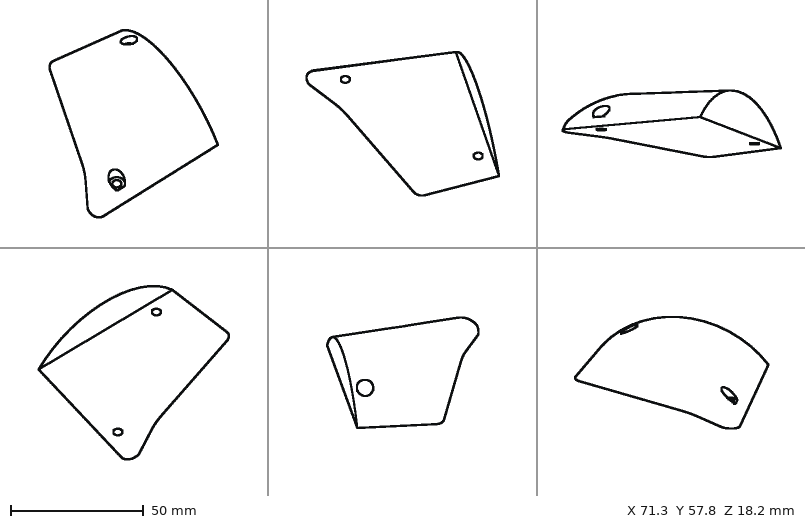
import cadquery as cq

BACK_LEFT_X = -33.3
BACK_RIGHT_X = 31.5
BACK_HEIGHT = 15.5
LEFT_FLARE = 0.079
RIGHT_FLARE = 0.076
HEIGHT_RISE = 0.067
BODY_LENGTH = 71.25

BEND_X = 14.5
BEND_Y = -48.8
LEFT_WALL_SLOPE = -0.33
RIGHT_WALL_SLOPE = -0.58
BEND_RADIUS = 37.8
TIP_Y = -57.8
TIP_RADIUS = 4.3
TRIM_HALF_WIDTH = 49.9
TRIM_HEIGHT = 28.5
FRONT_FILLET = 3.05
BACK_CLEARANCE_Y = -14.25
BASE_CLEARANCE_Z = 0.01

HOLE_CENTRES = [(-21.45, -5.05), (28.5, -43.7)]
HOLE_DIAMETER = 3.4
COUNTERBORE_DIAMETER = 6.2
COUNTERBORE_FLOOR_Z = 4.5


def crowned_wire(distance):
    """Closed arc-and-chord section at a distance in front of the back face."""
    left = BACK_LEFT_X - LEFT_FLARE * distance
    right = BACK_RIGHT_X + RIGHT_FLARE * distance
    height = BACK_HEIGHT + HEIGHT_RISE * distance
    section = (
        cq.Workplane("XZ", origin=(0, -distance, 0))
        .moveTo(left, 0)
        .threePointArc(((left + right) / 2, height), (right, 0))
        .close()
    )
    return section.val()


def front_trim():
    """Block of everything kept behind the slanted front wall."""
    left_y = BEND_Y + LEFT_WALL_SLOPE * (-TRIM_HALF_WIDTH - BEND_X)
    tip_x = BEND_X + (TIP_Y - BEND_Y) / RIGHT_WALL_SLOPE
    block = (
        cq.Workplane("XY")
        .moveTo(-TRIM_HALF_WIDTH, 0)
        .lineTo(-TRIM_HALF_WIDTH, left_y)
        .lineTo(BEND_X, BEND_Y)
        .lineTo(tip_x, TIP_Y)
        .lineTo(TRIM_HALF_WIDTH, TIP_Y)
        .lineTo(TRIM_HALF_WIDTH, 0)
        .close()
        .extrude(TRIM_HEIGHT)
    )
    bend_edge = cq.selectors.NearestToPointSelector((BEND_X, BEND_Y, TRIM_HEIGHT / 2))
    tip_edge = cq.selectors.NearestToPointSelector((tip_x, TIP_Y, TRIM_HEIGHT / 2))
    block = block.edges(bend_edge).fillet(BEND_RADIUS)
    return block.edges(tip_edge).fillet(TIP_RADIUS)


def screw_holes():
    """Vertical through holes with flat-bottomed counterbores open to the crown."""
    centres = cq.Workplane("XY").pushPoints(HOLE_CENTRES)
    holes = centres.circle(HOLE_DIAMETER / 2).extrude(TRIM_HEIGHT)
    bores = (
        cq.Workplane("XY", origin=(0, 0, COUNTERBORE_FLOOR_Z))
        .pushPoints(HOLE_CENTRES)
        .circle(COUNTERBORE_DIAMETER / 2)
        .extrude(TRIM_HEIGHT)
    )
    return holes.union(bores)


crown = cq.Solid.makeLoft([crowned_wire(0), crowned_wire(BODY_LENGTH)], True)
body = cq.Workplane(crown).intersect(front_trim())

wall_edges = [
    edge
    for edge in body.edges("not(|Z)").vals()
    if edge.Center().y < BACK_CLEARANCE_Y and edge.Center().z > BASE_CLEARANCE_Z
]
body = body.newObject(wall_edges).fillet(FRONT_FILLET)

result = body.cut(screw_holes())